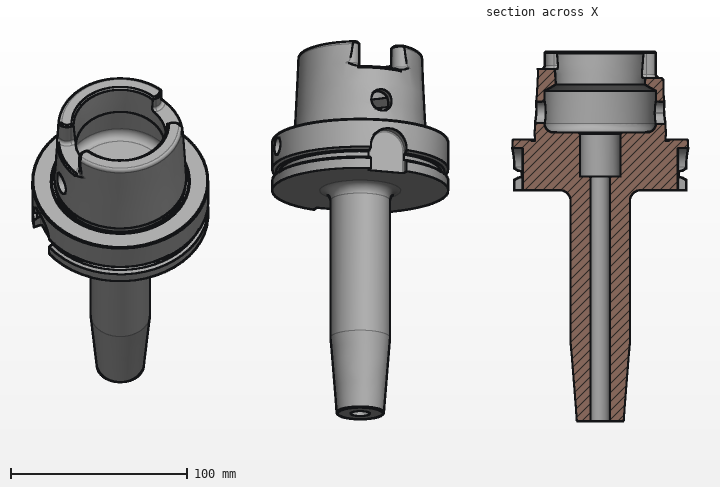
import cadquery as cq
import math


shank_height = 49.9
gauge_radius = 37.6
taper_slope = 1 / 20
shank_top_fillet = 2.0

relief_radius = 37.2
relief_outer_radius = 39.5
relief_height = 2.4
relief_lead_in = 1.0
relief_depth = 0.8

flange_radius = 50.0
flange_thickness = 29.0
flange_edge_chamfer = 0.6
groove_middle = -19.8
groove_mouth_width = 6.5
groove_shoulder_radius = 47.8
groove_shoulder_width = 3.9
groove_floor_radius = 46.0
groove_floor_width = 3.2

neck_radius = 17.0
neck_fillet = 6.0
nose_radius = 13.5
nose_taper_angle = 4.5
nose_chamfer = 0.6
total_length = 209.9
nose_end = shank_height - total_length

clamp_bore_radius = 26.5
clamp_bore_chamfer = 1.2
clamp_shoulder_radius = 25.2
undercut_top = 31.0
undercut_radius = 31.5
undercut_cone_angle = 30.0
undercut_floor = 4.0
undercut_corner_radius = 5.0
thread_bore_radius = 11.4
thread_bore_chamfer = 0.9
thread_bore_depth = 25.0
coolant_bore_radius = 5.4

drive_half_width = 10.0
drive_lobe_radius = 5.3
drive_lobe_y = 26.3
drive_floor_fillet = 2.0
drive_edge_chamfer = 1.0
front_drive_floor = 34.9
back_drive_floor = 39.9
front_lip_chamfer = 1.1
front_lip_half_width = 12.9

cross_hole_radius = 6.0
cross_hole_height = 15.3
front_hole_lengthening = 0.6
key_slot_width = 21.5
key_slot_top = -5.0
key_slot_floor = 44.0
key_slot_floor_fillet = 0.7
code_hole_radius = 5.0
code_hole_height = -7.3
code_hole_depth = 5.0


def shank_radius(z):
    return gauge_radius - taper_slope * z


def make_body():
    nose_taper_length = (neck_radius - nose_radius) / math.tan(math.radians(nose_taper_angle))
    neck_top = -flange_thickness - neck_fillet
    fillet_diagonal = neck_fillet * (1 - math.sqrt(0.5))
    profile = (
        cq.Workplane("XZ")
        .moveTo(0, nose_end)
        .lineTo(nose_radius - nose_chamfer, nose_end)
        .lineTo(nose_radius, nose_end + nose_chamfer)
        .lineTo(neck_radius, nose_end + nose_taper_length)
        .lineTo(neck_radius, neck_top)
        .threePointArc(
            (neck_radius + fillet_diagonal, -flange_thickness - fillet_diagonal),
            (neck_radius + neck_fillet, -flange_thickness),
        )
        .lineTo(flange_radius, -flange_thickness)
        .lineTo(flange_radius, -flange_edge_chamfer)
        .lineTo(flange_radius - flange_edge_chamfer, 0)
        .lineTo(relief_outer_radius, 0)
        .lineTo(relief_outer_radius - relief_depth, -relief_depth)
        .lineTo(relief_radius, -relief_depth)
        .lineTo(relief_radius, relief_height - relief_lead_in)
        .lineTo(shank_radius(relief_height), relief_height)
        .lineTo(shank_radius(shank_height), shank_height)
        .lineTo(0, shank_height)
        .close()
    )
    body = profile.revolve(360, (0, 0), (0, 1))
    return body.faces(">Z").edges().fillet(shank_top_fillet)


def make_gripper_groove():
    half_profile = [
        (flange_radius, groove_mouth_width / 2),
        (groove_shoulder_radius, groove_shoulder_width / 2),
        (groove_floor_radius, groove_floor_width / 2),
    ]
    upper_side = [(radius, groove_middle + offset) for radius, offset in half_profile]
    lower_side = [(radius, groove_middle - offset) for radius, offset in reversed(half_profile)]
    return (
        cq.Workplane("XZ")
        .polyline(upper_side + lower_side)
        .close()
        .revolve(360, (0, 0), (0, 1))
    )


def make_bores():
    cone_height = (undercut_radius - clamp_shoulder_radius) * math.tan(math.radians(undercut_cone_angle))
    thread_floor = undercut_floor - thread_bore_depth
    corner_center_radius = undercut_radius - undercut_corner_radius
    corner_center_height = undercut_floor + undercut_corner_radius
    corner_diagonal = undercut_corner_radius * math.sqrt(0.5)
    profile = (
        cq.Workplane("XZ")
        .moveTo(0, nose_end)
        .lineTo(coolant_bore_radius, nose_end)
        .lineTo(coolant_bore_radius, thread_floor)
        .lineTo(thread_bore_radius, thread_floor)
        .lineTo(thread_bore_radius, undercut_floor - thread_bore_chamfer)
        .lineTo(thread_bore_radius + thread_bore_chamfer, undercut_floor)
        .lineTo(corner_center_radius, undercut_floor)
        .threePointArc(
            (corner_center_radius + corner_diagonal, corner_center_height - corner_diagonal),
            (undercut_radius, corner_center_height),
        )
        .lineTo(undercut_radius, undercut_top - cone_height)
        .lineTo(clamp_shoulder_radius, undercut_top)
        .lineTo(clamp_bore_radius, shank_height - clamp_bore_chamfer)
        .lineTo(clamp_bore_radius + clamp_bore_chamfer, shank_height)
        .lineTo(0, shank_height)
        .close()
    )
    return profile.revolve(360, (0, 0), (0, 1))


def drive_slot_outline(side, height):
    """Plan of a drive slot toward side * Y, each wall curling outward around a convex lobe."""
    lobe_x = drive_half_width + drive_lobe_radius
    lobe_angle = math.atan2(drive_lobe_y, lobe_x)
    middle_angle = (math.pi + lobe_angle) / 2
    reach = shank_radius(0)

    def lobe_point(angle):
        x = lobe_x + drive_lobe_radius * math.cos(angle)
        y = drive_lobe_y + drive_lobe_radius * math.sin(angle)
        return x, y

    middle_x, middle_y = lobe_point(middle_angle)
    end_x, end_y = lobe_point(lobe_angle)
    outer_x = end_x + reach * math.sin(lobe_angle)
    outer_y = end_y - reach * math.cos(lobe_angle)
    return (
        cq.Workplane("XY", origin=(0, 0, height))
        .moveTo(-drive_half_width, 0)
        .lineTo(drive_half_width, 0)
        .lineTo(drive_half_width, side * drive_lobe_y)
        .threePointArc((middle_x, side * middle_y), (end_x, side * end_y))
        .lineTo(outer_x, side * outer_y)
        .lineTo(outer_x, side * flange_radius)
        .lineTo(-outer_x, side * flange_radius)
        .lineTo(-outer_x, side * outer_y)
        .lineTo(-end_x, side * end_y)
        .threePointArc((-middle_x, side * middle_y), (-drive_half_width, side * drive_lobe_y))
        .close()
    )


def make_drive_slot(side, floor):
    slot = drive_slot_outline(side, floor).extrude(shank_height - floor)
    slot = slot.faces("<Z").edges().fillet(drive_floor_fillet)
    edge_chamfer = drive_slot_outline(side, shank_height - drive_edge_chamfer)
    return slot.union(edge_chamfer.extrude(drive_edge_chamfer, taper=-45))


def make_front_lip_chamfer():
    """Chamfer along the outer edge of the front drive slot's floor."""
    inner_radius = shank_radius(front_drive_floor) - front_lip_chamfer
    ring = (
        cq.Workplane("XZ")
        .moveTo(inner_radius, front_drive_floor)
        .lineTo(inner_radius + 2 * front_lip_chamfer, front_drive_floor)
        .lineTo(inner_radius + 2 * front_lip_chamfer, front_drive_floor - 2 * front_lip_chamfer)
        .close()
        .revolve(360, (0, 0), (0, 1))
    )
    slot_zone = (
        cq.Workplane("XY", origin=(0, -flange_radius / 2, front_drive_floor))
        .box(2 * front_lip_half_width, flange_radius, shank_height)
    )
    return ring.intersect(slot_zone)


def make_key_slot(side):
    arch_radius = key_slot_width / 2
    arch_height = key_slot_top - arch_radius
    slot = (
        cq.Workplane("XZ", origin=(0, side * key_slot_floor, 0))
        .moveTo(-arch_radius, -flange_radius)
        .lineTo(-arch_radius, arch_height)
        .threePointArc((0, key_slot_top), (arch_radius, arch_height))
        .lineTo(arch_radius, -flange_radius)
        .close()
        .extrude(-side * flange_radius)
    )
    floor_face = slot.faces("<Y" if side > 0 else ">Y")
    return floor_face.edges("not(<Z)").fillet(key_slot_floor_fillet)


def make_cross_hole():
    """Hole through both walls of the shank, slightly lengthened downward in the front wall."""
    through = (
        cq.Workplane("XZ")
        .center(0, cross_hole_height)
        .circle(cross_hole_radius)
        .extrude(flange_radius, both=True)
    )
    lengthening = (
        cq.Workplane("XZ")
        .center(0, cross_hole_height - front_hole_lengthening / 2)
        .slot2D(2 * cross_hole_radius + front_hole_lengthening, 2 * cross_hole_radius, 90)
        .extrude(flange_radius)
    )
    return through.union(lengthening)


def make_code_hole():
    return (
        cq.Workplane("YZ", origin=(-flange_radius, 0, 0))
        .center(0, code_hole_height)
        .circle(code_hole_radius)
        .extrude(code_hole_depth)
    )


result = make_body().cut(make_gripper_groove()).cut(make_bores())
result = result.cut(make_drive_slot(-1, front_drive_floor))
result = result.cut(make_drive_slot(1, back_drive_floor))
result = result.cut(make_front_lip_chamfer())
for slot_side in (-1, 1):
    result = result.cut(make_key_slot(slot_side))
result = result.cut(make_cross_hole()).cut(make_code_hole())